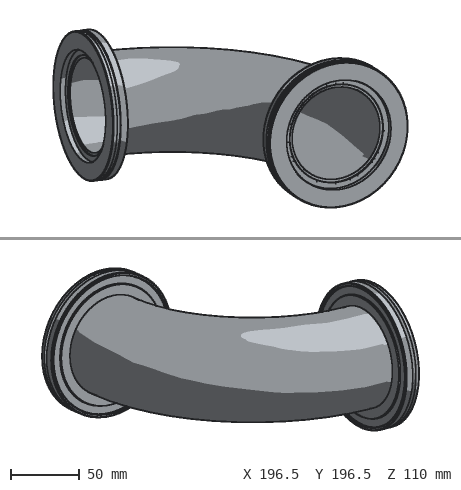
import cadquery as cq

overall_length = 196.5
flange_diameter = 110.0
flange_radius = flange_diameter / 2
port_distance = overall_length - flange_radius

tube_radius = 76.5 / 2
bore_radius = 69.8 / 2
straight_length = 4.0

flange_thickness = 12.2
edge_chamfer = 0.5
recess_radius = 83.0 / 2
recess_depth = 4.1
lip_radius = 74.0 / 2
lip_thickness = 1.0
tube_end = recess_depth + lip_thickness

groove_start = 3.3
groove_end = 6.3
groove_depth = 1.4
groove_floor_radius = 2.4

ring_inner_radius = 93.0 / 2
ring_outer_radius = 105.0 / 2
ring_depth = 1.2
ring_side_slope = 0.5

bend_radius = port_distance - flange_thickness - straight_length


def make_flange():
    """Flange with its port face at Y = 0, its axis along Y and its back towards +Y."""
    groove_radius = flange_radius - groove_depth
    ring_floor = flange_thickness - ring_depth
    profile = (
        cq.Workplane("XY")
        .moveTo(recess_radius, 0)
        .lineTo(flange_radius - edge_chamfer, 0)
        .lineTo(flange_radius, edge_chamfer)
        .lineTo(flange_radius, groove_start)
        .radiusArc((groove_radius, groove_end), groove_floor_radius)
        .lineTo(flange_radius, groove_end)
        .lineTo(flange_radius, flange_thickness - edge_chamfer)
        .lineTo(flange_radius - edge_chamfer, flange_thickness)
        .lineTo(ring_outer_radius + ring_side_slope, flange_thickness)
        .lineTo(ring_outer_radius, ring_floor)
        .lineTo(ring_inner_radius, ring_floor)
        .lineTo(ring_inner_radius - ring_side_slope, flange_thickness)
        .lineTo(tube_radius, flange_thickness)
        .lineTo(tube_radius, tube_end)
        .lineTo(lip_radius, tube_end)
        .lineTo(lip_radius, recess_depth)
        .lineTo(recess_radius, recess_depth)
        .close()
    )
    return profile.revolve(360, (0, 0, 0), (0, 1, 0))


def make_elbow():
    """Hollow tube with a quarter-circle bend and a straight end seated in each flange."""
    path = (
        cq.Workplane("XY")
        .moveTo(0, tube_end)
        .lineTo(0, port_distance - bend_radius)
        .radiusArc((bend_radius, port_distance), bend_radius)
        .lineTo(port_distance - tube_end, port_distance)
    )
    section = cq.Workplane("XZ", origin=(0, tube_end, 0)).circle(tube_radius).circle(bore_radius)
    return section.sweep(path)


flanges = [
    make_flange().rotate((0, 0, 0), (0, 0, 1), turn).translate(position).val()
    for turn, position in [(0, (0, 0, 0)), (90, (port_distance, port_distance, 0))]
]
elbow = make_elbow()

result = cq.Compound.makeCompound([elbow.val(), *flanges])